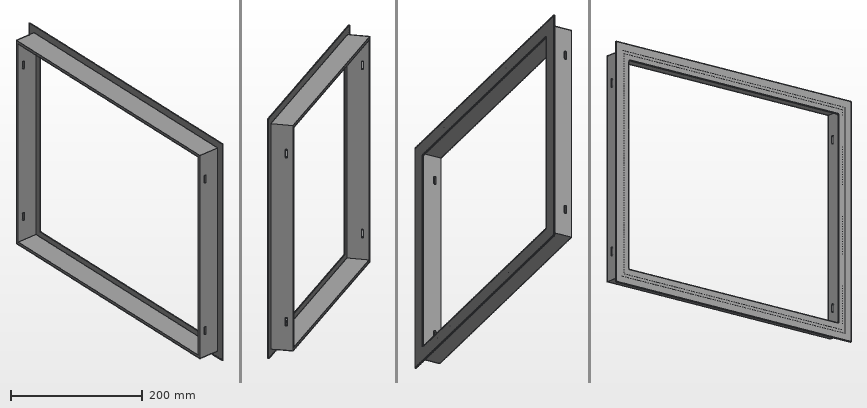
import cadquery as cq

width = 462.5
depth = 37.0
height = 387.5

flange_overhang = 12.0
wall_thickness = 4.5
lip_overhang = 9.2
flange_thickness = 2.0
back_chamfer = 1.0
corner_radius = 2.0

slot_length = 14.0
slot_width = 3.2
slot_spacing = 271.0
slot_from_front = 10.5

wall_inset = flange_overhang + wall_thickness
opening_inset = wall_inset + lip_overhang
back_y = depth / 2
front_y = -depth / 2


def block(inset, length):
    """Block inset from the outer outline, running forward from the back plane."""
    return (
        cq.Workplane("XZ", origin=(0, back_y, 0))
        .rect(width - 2 * inset, height - 2 * inset)
        .extrude(length)
    )


def make_flange():
    outline = block(0, flange_thickness).edges("|Y").fillet(corner_radius)
    opening = block(opening_inset, flange_thickness).edges("|Y").fillet(corner_radius)
    return outline.cut(opening).faces(">Y").edges().chamfer(back_chamfer)


def make_wall():
    return block(flange_overhang, depth).cut(block(wall_inset, depth))


def make_slots():
    """Upright slots, each cutting through both side walls."""
    return (
        cq.Workplane("YZ", origin=(0, front_y + slot_from_front, 0))
        .rarray(4.5, slot_spacing, 1, 2)
        .slot2D(slot_length, slot_width, 90)
        .extrude(width / 2, both=True)
    )


result = make_flange().union(make_wall()).cut(make_slots())